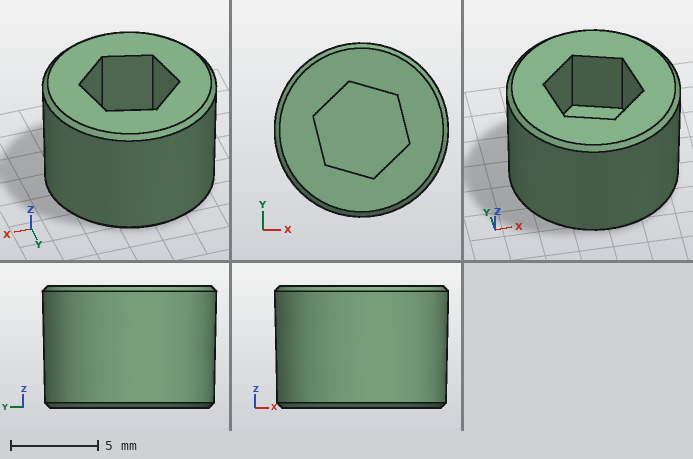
import cadquery as cq
import math

height = 7.0
top_diameter = 10.0
bottom_diameter = 9.7
chamfer = 0.3

socket_across_flats = 5.0
socket_depth = 4.0
socket_corner_angle = 44.1


def make_body():
    """Cone frustum narrowing downward, with both end edges chamfered."""
    frustum = cq.Solid.makeCone(bottom_diameter / 2, top_diameter / 2, height)
    return cq.Workplane("XY").add(frustum).faces("<Z or >Z").edges().chamfer(chamfer)


def make_socket():
    """Hexagonal prism that reaches down from the top face."""
    across_corners = socket_across_flats / math.cos(math.radians(30))
    return (
        cq.Workplane("XY")
        .workplane(offset=height - socket_depth)
        .polygon(6, across_corners)
        .extrude(socket_depth)
        .rotate((0, 0, 0), (0, 0, 1), socket_corner_angle)
    )


result = make_body().cut(make_socket())